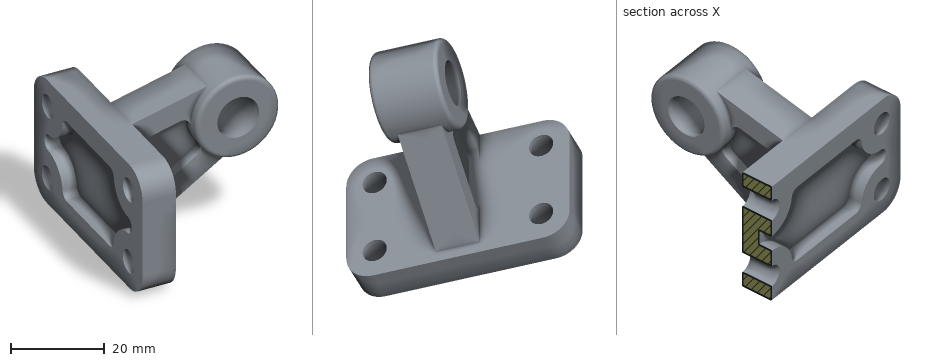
import cadquery as cq
import math

PLATE_WIDTH = 51.0
PLATE_HEIGHT = 31.0
PLATE_THICKNESS = 8.0
PLATE_CORNER_RADIUS = 6.0
HOLE_DIAMETER = 5.5
HOLE_SPACING_X = 38.0
HOLE_SPACING_Z = 18.0

RECESS_MARGIN_X = 5.0
RECESS_MARGIN_Z = 5.5
RECESS_DEPTH = 3.5
RECESS_FILLET = 2.0
HOLE_PAD_RADIUS = 7.0

BOSS_DIAMETER = 20.0
BOSS_LENGTH = 15.8
BOSS_EDGE_FILLET = 1.0
BORE_DIAMETER = 10.0
BOSS_Y = 32.0
BOSS_Z = 27.5

RIB_THICKNESS = 10.0
RIB_FOOT_Z = 2.5
RIB_HEAD_HALF_HEIGHT = 9.5
RIB_HEAD_TOP = BOSS_Z + RIB_HEAD_HALF_HEIGHT
RIB_HEAD_BOTTOM = BOSS_Z - RIB_HEAD_HALF_HEIGHT

POCKET_BORDER = 5.25
POCKET_DEPTH = 2.5
POCKET_FILLET = 2.0

PLATE_MID_Z = PLATE_HEIGHT / 2


def bar_along_y(outline, depth):
    """Extrude a sketch placed on the front face of the plate towards +Y."""
    return outline.extrude(-depth)


def front_plane():
    """Workplane on the plate front (local x = X, local y = Z), centred on the plate."""
    return cq.Workplane("XZ", origin=(0, 0, PLATE_MID_Z))


def side_plane(x):
    """Workplane facing +X (local x = Y, local y = Z) at the given X."""
    return cq.Workplane("YZ", origin=(x, 0, 0))


def boss_cylinder(diameter, length):
    """Cylinder on the pivot axis, centred on X = 0."""
    return side_plane(-length / 2).center(BOSS_Y, BOSS_Z).circle(diameter / 2).extrude(length)


def make_plate():
    """Rounded rectangular plate."""
    outline = front_plane().rect(PLATE_WIDTH, PLATE_HEIGHT)
    return bar_along_y(outline, PLATE_THICKNESS).edges("|Y").fillet(PLATE_CORNER_RADIUS)


def bolt_cylinders(radius, depth):
    """One cylinder at each bolt position."""
    centres = front_plane().rect(HOLE_SPACING_X, HOLE_SPACING_Z, forConstruction=True).vertices()
    return bar_along_y(centres.circle(radius), depth)


def make_recess():
    """Rectangle cut back by a round pad at each bolt hole, with all corners filleted."""
    width = PLATE_WIDTH - 2 * RECESS_MARGIN_X
    height = PLATE_HEIGHT - 2 * RECESS_MARGIN_Z
    block = bar_along_y(front_plane().rect(width, height), RECESS_DEPTH)
    pads = bolt_cylinders(HOLE_PAD_RADIUS, RECESS_DEPTH)
    return block.cut(pads).edges("|Y").fillet(RECESS_FILLET)


def rib_prism(x_start, thickness, border):
    """Tapered rib outline, with its sloping edges moved inwards by border."""
    run = BOSS_Y - PLATE_THICKNESS
    drop_top = border * math.hypot(run, RIB_HEAD_TOP - PLATE_HEIGHT) / run
    rise_bottom = border * math.hypot(run, RIB_HEAD_BOTTOM - RIB_FOOT_Z) / run
    corners = [
        (PLATE_THICKNESS, RIB_FOOT_Z + rise_bottom),
        (BOSS_Y, RIB_HEAD_BOTTOM + rise_bottom),
        (BOSS_Y, RIB_HEAD_TOP - drop_top),
        (PLATE_THICKNESS, PLATE_HEIGHT - drop_top),
    ]
    return side_plane(x_start).polyline(corners).close().extrude(thickness)


def make_pocket(x_start):
    """Side pocket bounded by the plate, the boss and the borders of the rib."""
    blank = rib_prism(x_start, POCKET_DEPTH, POCKET_BORDER)
    return blank.cut(boss_cylinder(BOSS_DIAMETER, BOSS_LENGTH)).edges("|X").fillet(POCKET_FILLET)


def make_rib():
    """Rib with a pocket in both sides."""
    half = RIB_THICKNESS / 2
    rib = rib_prism(-half, RIB_THICKNESS, 0.0)
    for x_start in (-half, half - POCKET_DEPTH):
        rib = rib.cut(make_pocket(x_start))
    return rib


plate = make_plate().cut(make_recess()).cut(bolt_cylinders(HOLE_DIAMETER / 2, PLATE_THICKNESS))
boss = boss_cylinder(BOSS_DIAMETER, BOSS_LENGTH).edges("%CIRCLE").fillet(BOSS_EDGE_FILLET)
bore = boss_cylinder(BORE_DIAMETER, BOSS_LENGTH)
result = plate.union(make_rib()).union(boss).cut(bore)